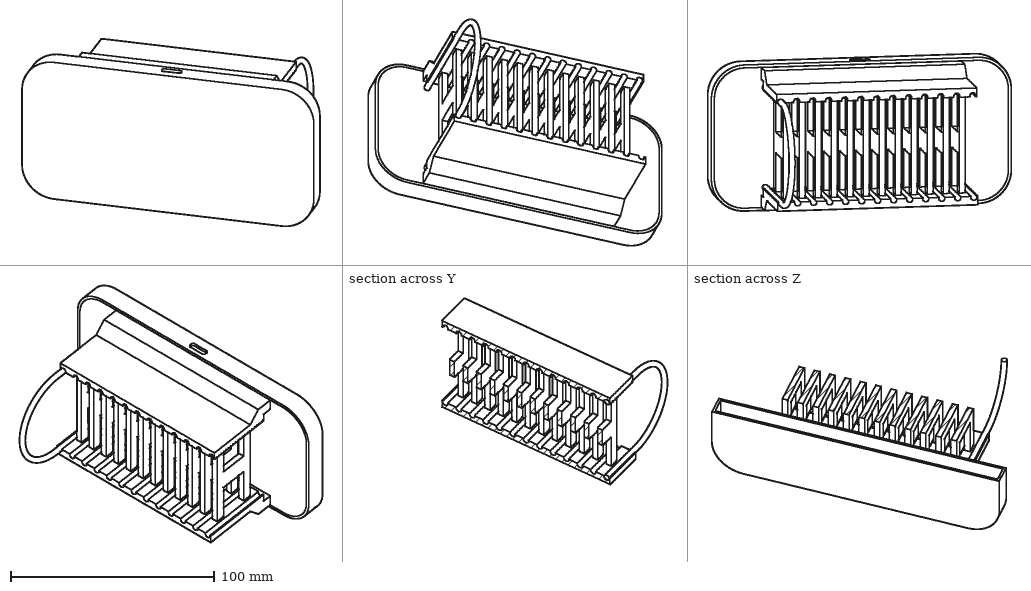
import cadquery as cq

housing_width = 150.0
housing_height = 73.0
housing_thickness = 10.5
housing_corner_radius = 16.5
wall_thickness = 1.5
cover_thickness = 1.5

port_width = 9.9
port_height = 3.2
port_corner_radius = 1.0
port_y = 6.6

wire_diameter = 3.0
wire_spacing = 50.1
overall_depth = 84.9
arc_radius = wire_spacing / 2
arc_center_y = overall_depth - arc_radius - wire_diameter / 2

rack_width = 100.0
rail_inner_z = 24.6
rail_outer_z = 29.0
foot_outer_z = 35.0
foot_relief_y = 15.5
bevel_start_y = 19.5
bevel_end_y = bevel_start_y + foot_outer_z - rail_outer_z
upper_rail_end_y = 52.5
lower_rail_end_y = 55.4

groove_count = 13
end_margin = 0.25
groove_pitch = rack_width / (groove_count - 1 + 2 * end_margin)
groove_diameter = wire_diameter

divider_count = groove_count - 1
divider_thickness = 3.0
divider_depth = 24.9
divider_post_width = 5.0
divider_bar_height = 10.5
divider_y = 32.8


def centered_positions(count, pitch):
    """X positions of a row that is centered on the housing."""
    return [(index - (count - 1) / 2) * pitch for index in range(count)]


groove_positions = centered_positions(groove_count, groove_pitch)
divider_positions = centered_positions(divider_count, groove_pitch)


def rounded_block(inset, start_y, end_y):
    """A slab with the housing's outline, moved inward by inset, from start_y to end_y."""
    return (
        cq.Workplane("XZ", origin=(0, start_y, 0))
        .rect(housing_width - 2 * inset, housing_height - 2 * inset)
        .extrude(start_y - end_y)
        .edges("|Y")
        .fillet(housing_corner_radius - inset)
    )


def make_housing():
    """The tray with a port through its top wall."""
    shell = rounded_block(0, 0, housing_thickness)
    cavity = rounded_block(wall_thickness, wall_thickness, housing_thickness)
    port = (
        cq.Workplane("XY", origin=(0, port_y, housing_height / 2 - wall_thickness))
        .rect(port_width, port_height)
        .extrude(wall_thickness)
        .edges("|Z")
        .fillet(port_corner_radius)
    )
    return shell.cut(cavity).cut(port)


def make_back_cover():
    """A panel that closes the housing, flush with its rear rim."""
    return rounded_block(wall_thickness, housing_thickness - cover_thickness, housing_thickness)


def make_rail(side, end_y):
    """One grooved rail with its foot on the back cover; side is 1 above and -1 below."""
    profile = [
        (housing_thickness, foot_outer_z),
        (bevel_start_y, foot_outer_z),
        (bevel_end_y, rail_outer_z),
        (end_y, rail_outer_z),
        (end_y, rail_inner_z),
        (foot_relief_y, rail_inner_z),
        (foot_relief_y, rail_outer_z),
        (housing_thickness, rail_outer_z),
    ]
    rail = (
        cq.Workplane("YZ")
        .polyline([(y, side * z) for y, z in profile])
        .close()
        .extrude(rack_width / 2, both=True)
    )
    grooves = (
        cq.Workplane("XZ")
        .pushPoints([(x, side * wire_spacing / 2) for x in groove_positions])
        .circle(groove_diameter / 2)
        .extrude(-end_y)
    )
    return rail.cut(grooves)


def make_divider(x):
    """An H-shaped wall standing between the rails."""
    wall = cq.Workplane("XY").box(divider_thickness, divider_depth, 2 * rail_inner_z)
    window_width = divider_depth - 2 * divider_post_width
    window_height = rail_inner_z - divider_bar_height / 2
    window_z = (rail_inner_z + divider_bar_height / 2) / 2
    windows = (
        cq.Workplane("YZ")
        .pushPoints([(0, window_z), (0, -window_z)])
        .rect(window_width, window_height)
        .extrude(divider_thickness, both=True)
    )
    return wall.cut(windows).translate((x, divider_y, 0))


def make_rack():
    """Both rails and all dividers as one piece; the lower rail is the longer one."""
    rack = make_rail(1, upper_rail_end_y).union(make_rail(-1, lower_rail_end_y))
    for x in divider_positions:
        rack = rack.union(make_divider(x))
    return rack


def make_wire():
    """A U-shaped wire in the last pair of grooves, with its legs ending on the back cover."""
    path = (
        cq.Workplane("YZ", origin=(groove_positions[-1], 0, 0))
        .moveTo(housing_thickness, arc_radius)
        .lineTo(arc_center_y, arc_radius)
        .threePointArc((arc_center_y + arc_radius, 0), (arc_center_y, -arc_radius))
        .lineTo(housing_thickness, -arc_radius)
    )
    return (
        cq.Workplane("XZ", origin=(groove_positions[-1], housing_thickness, arc_radius))
        .circle(wire_diameter / 2)
        .sweep(path)
    )


housing = make_housing()
back_cover = make_back_cover()
rack = make_rack()
wire_loop = make_wire()

result = cq.Compound.makeCompound([
    housing.val(),
    back_cover.val(),
    rack.val(),
    wire_loop.val(),
])